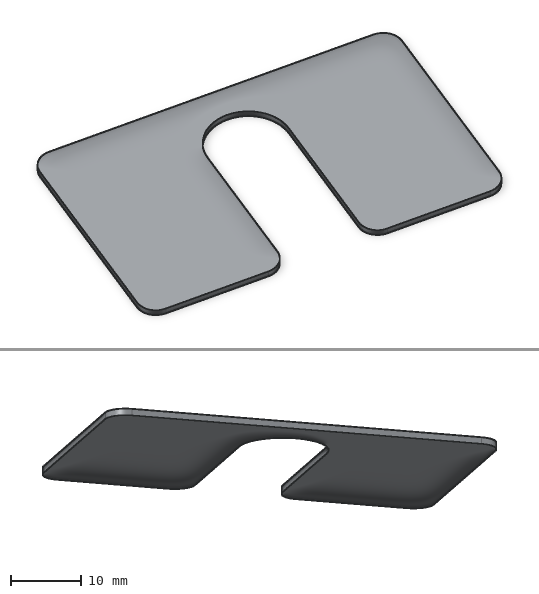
import cadquery as cq

width = 36.0
length = 58.0
thickness = 1.0
corner_radius = 3.0

slot_width = 13.0
web_width = 5.0

slot_radius = slot_width / 2
right_edge = width / 2
slot_end = -width / 2 + web_width
arc_center = slot_end + slot_radius


def make_plate():
    return cq.Workplane("XY").rect(width, length).extrude(thickness)


def make_slot():
    return (
        cq.Workplane("XY")
        .moveTo(right_edge, -slot_radius)
        .lineTo(arc_center, -slot_radius)
        .threePointArc((slot_end, 0), (arc_center, slot_radius))
        .lineTo(right_edge, slot_radius)
        .close()
        .extrude(thickness)
    )


slotted_plate = make_plate().cut(make_slot())
corner_edges = slotted_plate.edges("|Z and (<X or >X)")
result = corner_edges.fillet(corner_radius)